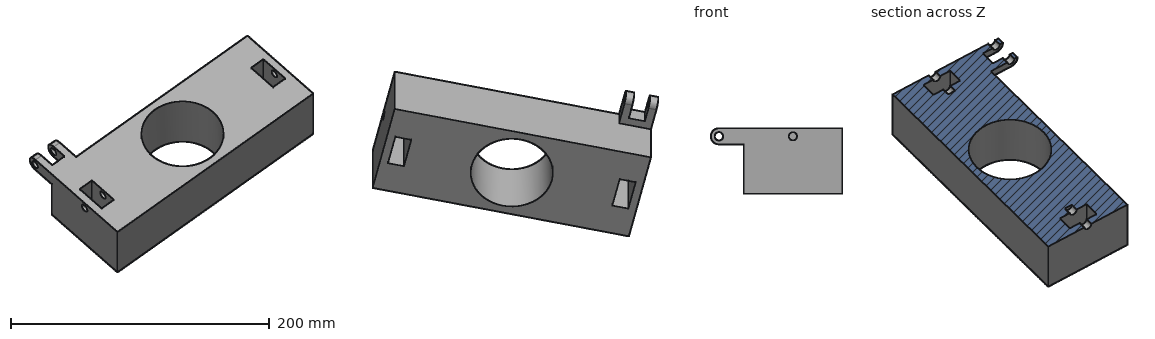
import cadquery as cq

length = 203.2
unit = length / 32
body_width = 12 * unit
height = 8 * unit
arm_reach = 4 * unit
arm_width = 4 * unit
arm_thickness = 2 * unit
fork_gap = 2 * unit
fork_depth = 3 * unit
bore_diameter = 10 * unit
slot_length = 4 * unit
slot_width = 2 * unit
wall = unit
pin_diameter = unit
pin_depth = wall + slot_width + wall

body_left = -body_width / 2
front = -length / 2
knuckle_radius = arm_thickness / 2
arm_tip = body_left - arm_reach
pin_height = height - knuckle_radius
knuckle_x = arm_tip + knuckle_radius
slot_offset = length / 2 - wall - slot_width / 2


def make_body():
    return cq.Workplane("XY").box(body_width, length, height, centered=(True, True, False))


def make_hinge_arm():
    """Round-ended arm, forked at its tip, with a pin hole across the fork."""
    arm = (
        cq.Workplane("XZ", origin=(0, front, 0))
        .moveTo(body_left, height)
        .lineTo(knuckle_x, height)
        .threePointArc((arm_tip, pin_height), (knuckle_x, height - arm_thickness))
        .lineTo(body_left, height - arm_thickness)
        .close()
        .extrude(-arm_width)
    )
    fork = cq.Workplane("XY").box(fork_depth, fork_gap, arm_thickness, centered=(False, True, False))
    fork = fork.translate((arm_tip, front + arm_width / 2, height - arm_thickness))
    return arm.cut(fork).cut(make_pin_hole(knuckle_x, front, arm_width))


def make_pin_hole(x, y_start, depth):
    """Cylinder along +Y at the pin height."""
    return (
        cq.Workplane("XZ", origin=(x, y_start, pin_height))
        .circle(pin_diameter / 2)
        .extrude(-depth)
    )


def make_bore():
    return cq.Workplane("XY").circle(bore_diameter / 2).extrude(height)


def make_strap_slots():
    return (
        cq.Workplane("XY")
        .pushPoints([(0, -slot_offset), (0, slot_offset)])
        .rect(slot_length, slot_width)
        .extrude(height)
    )


result = make_body().union(make_hinge_arm()).cut(make_bore()).cut(make_strap_slots())

for hole_start in (front, length / 2 - pin_depth):
    result = result.cut(make_pin_hole(0, hole_start, pin_depth))